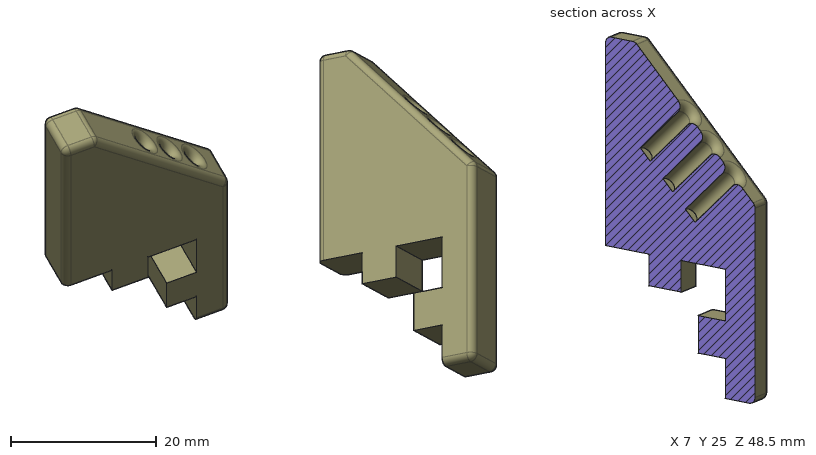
import cadquery as cq
import math

THICKNESS = 7.0
DEPTH = 25.0
HEIGHT = 48.5

LEG_DEPTH = 5.0
SHELF_HEIGHT = 18.5
TOP_DEPTH = 5.0
SLOPE_RISE = DEPTH - TOP_DEPTH

TAB_OFFSET = 7.3
TAB_WIDTH = 5.45
TAB_LENGTH = 4.5

EDGE_RADIUS = 1.0

HOLE_COUNT = 3
HOLE_DIAMETER = 2.25
HOLE_DEPTH = 10.0
MOUTH_RADIUS = 1.15
FIRST_HOLE_INSET = 3.75
HOLE_PITCH = 3.75

BACK_Y = DEPTH / 2
FRONT_Y = -DEPTH / 2
LEG_Y = BACK_Y - LEG_DEPTH
SLOPE_FOOT_Z = HEIGHT - SLOPE_RISE


def centred_block(y_min, y_max, z_min, z_max):
    """Block spanning the full thickness between the given Y and Z limits."""
    size_y = y_max - y_min
    size_z = z_max - z_min
    block = cq.Workplane("XY").box(THICKNESS, size_y, size_z)
    return block.translate((0, (y_min + y_max) / 2, (z_min + z_max) / 2))


def rounded_body():
    """Plate with the sloped outline, rounded on its outer edges, with the shelf corner cut away."""
    outline = [
        (FRONT_Y, 0),
        (BACK_Y, 0),
        (BACK_Y, SLOPE_FOOT_Z),
        (FRONT_Y + TOP_DEPTH, HEIGHT),
        (FRONT_Y, HEIGHT),
    ]
    plate = cq.Workplane("YZ").polyline(outline).close().extrude(THICKNESS / 2, both=True)
    plate = plate.edges().fillet(EDGE_RADIUS)
    return plate.cut(centred_block(FRONT_Y, LEG_Y, 0, SHELF_HEIGHT))


def tabs():
    """Square-edged tabs below the shelf and in front of the leg."""
    shelf_tab_back = LEG_Y - TAB_OFFSET
    shelf_tab = centred_block(
        shelf_tab_back - TAB_WIDTH, shelf_tab_back, SHELF_HEIGHT - TAB_LENGTH, SHELF_HEIGHT
    )
    leg_tab_top = SHELF_HEIGHT - TAB_OFFSET
    leg_tab = centred_block(LEG_Y - TAB_LENGTH, LEG_Y, leg_tab_top - TAB_WIDTH, leg_tab_top)
    return shelf_tab, leg_tab


def slope_hole(inset):
    """Cutter for one round-mouthed hole whose centre lies the given distance in front of the back face."""
    bore_radius = HOLE_DIAMETER / 2
    mouth_rim = bore_radius + MOUTH_RADIUS
    arc_reach = MOUTH_RADIUS * (1 - math.sqrt(0.5))
    section_plane = cq.Plane(
        origin=(0, BACK_Y - inset, SLOPE_FOOT_Z + inset),
        xDir=(1, 0, 0),
        normal=(0, -1, 1),
    )
    section = (
        cq.Workplane(section_plane)
        .moveTo(0, 0)
        .lineTo(mouth_rim, 0)
        .threePointArc((bore_radius + arc_reach, -arc_reach), (bore_radius, -MOUTH_RADIUS))
        .lineTo(bore_radius, -HOLE_DEPTH)
        .lineTo(0, -HOLE_DEPTH)
        .close()
    )
    return section.revolve(360, (0, 0), (0, 1))


result = rounded_body()
for tab in tabs():
    result = result.union(tab)
for index in range(HOLE_COUNT):
    result = result.cut(slope_hole(FIRST_HOLE_INSET + index * HOLE_PITCH))